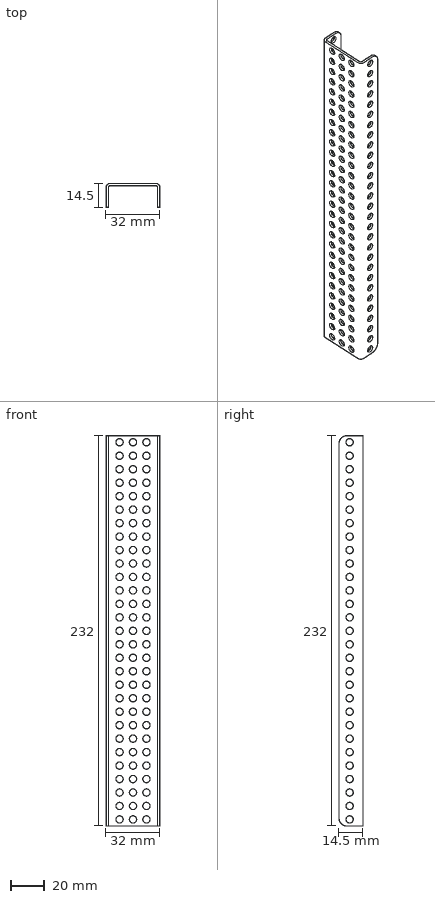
import cadquery as cq

length = 232.0
width = 32.0
depth = 14.5
wall = 1.5
inner_bend = 1.0
outer_bend = inner_bend + wall
flange_corner_radius = 4.9

hole_diameter = 4.2
rows = 29
columns = 3
pitch = length / rows
flange_hole_setback = pitch
cutter_margin = 1.2

back = depth / 2


def channel_body():
    """Bent sheet: a rounded outer block with a rounded inner block removed."""
    outer = (
        cq.Workplane("XY")
        .box(width, depth, length)
        .edges("|Z and >Y")
        .fillet(outer_bend)
    )
    inner = (
        cq.Workplane("XY")
        .box(width - 2 * wall, depth, length)
        .edges("|Z and >Y")
        .fillet(inner_bend)
        .translate((0, -wall, 0))
    )
    return outer.cut(inner)


def round_flange_corners(body):
    """Round the free corners at both ends of each flange."""
    return body.faces("<Y").edges("|X").fillet(flange_corner_radius)


def web_holes():
    """Grid of cutters through the web."""
    return (
        cq.Workplane("XZ", origin=(0, back + cutter_margin, 0))
        .rarray(pitch, pitch, columns, rows)
        .circle(hole_diameter / 2)
        .extrude(wall + 2 * cutter_margin)
    )


def flange_holes():
    """Single row of cutters through both flanges."""
    return (
        cq.Workplane("YZ", origin=(0, back - flange_hole_setback, 0))
        .rarray(pitch, pitch, 1, rows)
        .circle(hole_diameter / 2)
        .extrude(width, both=True)
    )


channel = round_flange_corners(channel_body())
result = channel.cut(web_holes()).cut(flange_holes())